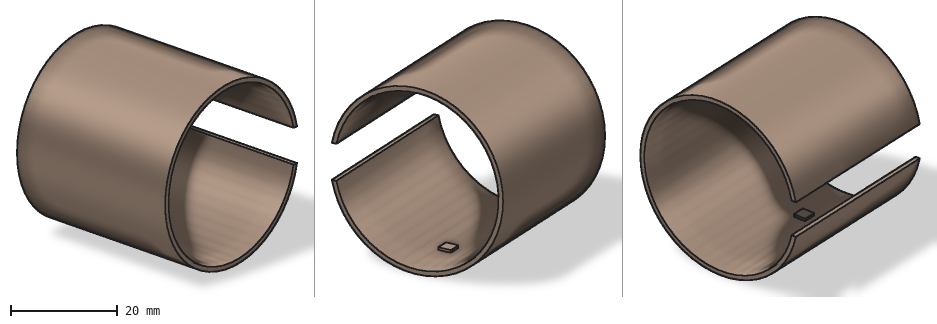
import cadquery as cq

length = 36.9
outer_radius = 18.9
wall = 1.0
inner_radius = outer_radius - wall

slot_width = 7.5

pad_side = 2.72
pad_top_height = 1.55
pad_center_x = -6.92


def split_sleeve():
    ring = cq.Workplane("YZ").circle(outer_radius).circle(inner_radius)
    sleeve = ring.extrude(length / 2, both=True)
    slot = cq.Workplane("XY").box(
        length, outer_radius, slot_width, centered=(True, False, True)
    )
    return sleeve.cut(slot)


def floor_pad():
    base_height = wall / 2
    pad = cq.Workplane("XY").box(
        pad_side, pad_side, pad_top_height - base_height, centered=(True, True, False)
    )
    return pad.translate((pad_center_x, 0, base_height - outer_radius))


result = split_sleeve().union(floor_pad())